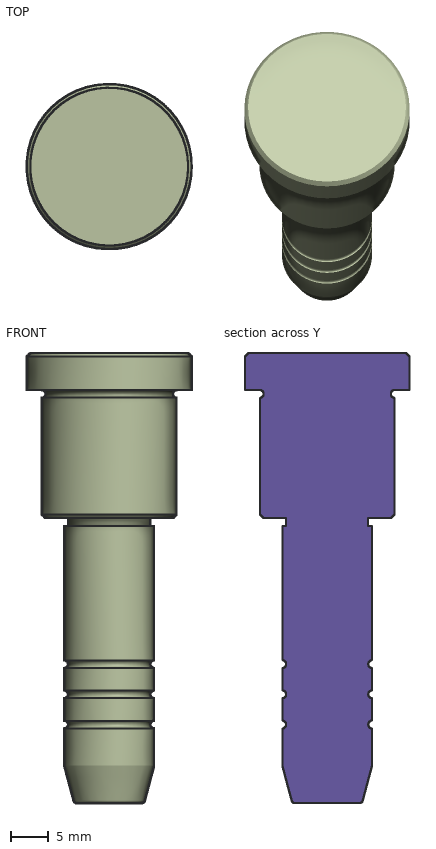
import cadquery as cq
import math

TOTAL_LENGTH = 60.0

HEAD_RADIUS = 22.0 / 2
HEAD_HEIGHT = 5.0
BODY_RADIUS = 9.0
BODY_BOTTOM_Z = 38.0
EDGE_CHAMFER = 0.5

SHANK_RADIUS = 6.0
NECK_LENGTH = 1.0
NECK_DEPTH = 0.5
TIP_LENGTH = 5.0
TIP_HALF_ANGLE = 15.0
TIP_FILLET = 0.5

GROOVE_RADIUS = 0.5
GROOVE_COUNT = 3
GROOVE_PITCH = 4.0
LOWEST_GROOVE_Z = 10.5

head_bottom_z = TOTAL_LENGTH - HEAD_HEIGHT
neck_bottom_z = BODY_BOTTOM_Z - NECK_LENGTH


def cylinder(radius, bottom_z, top_z):
    return cq.Workplane("XY").workplane(offset=bottom_z).circle(radius).extrude(top_z - bottom_z)


def ring_groove(surface_radius, center_z):
    """Torus that cuts a half-round groove into a cylinder of the given radius."""
    return (
        cq.Workplane("XZ")
        .center(surface_radius, center_z)
        .circle(GROOVE_RADIUS)
        .revolve(360, (-surface_radius, 0), (-surface_radius, 1))
    )


def tapered_tip():
    end_radius = SHANK_RADIUS - TIP_LENGTH * math.tan(math.radians(TIP_HALF_ANGLE))
    cone = (
        cq.Workplane("XZ")
        .polyline([(0, 0), (end_radius, 0), (SHANK_RADIUS, TIP_LENGTH), (0, TIP_LENGTH)])
        .close()
        .revolve(360, (0, 0), (0, 1))
    )
    return cone.faces("<Z").edges().fillet(TIP_FILLET)


head = cylinder(HEAD_RADIUS, head_bottom_z, TOTAL_LENGTH).faces(">Z").chamfer(EDGE_CHAMFER)

body = cylinder(BODY_RADIUS, BODY_BOTTOM_Z, head_bottom_z).faces("<Z").chamfer(EDGE_CHAMFER)
body = body.cut(ring_groove(BODY_RADIUS, head_bottom_z - GROOVE_RADIUS))

neck = cylinder(SHANK_RADIUS - NECK_DEPTH, neck_bottom_z, BODY_BOTTOM_Z)

shank = cylinder(SHANK_RADIUS, TIP_LENGTH, neck_bottom_z)
for index in range(GROOVE_COUNT):
    shank = shank.cut(ring_groove(SHANK_RADIUS, LOWEST_GROOVE_Z + index * GROOVE_PITCH))

result = head.union(body).union(neck).union(shank).union(tapered_tip())